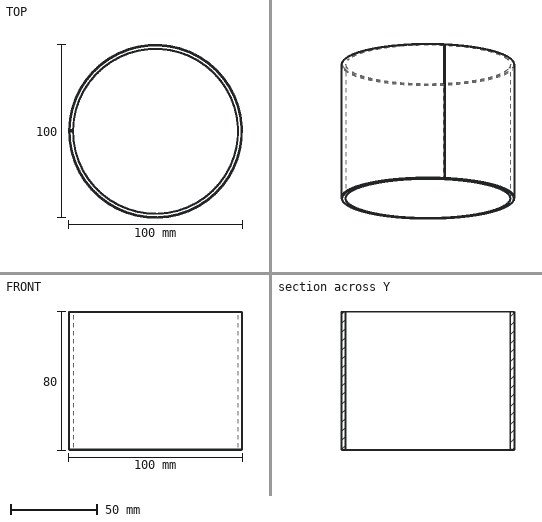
import cadquery as cq

outer_diameter = 100.0
wall_thickness = 2.5
length = 80.0
outer_chamfer = 0.5
bore_chamfer = 0.2
joint_angle = 1.0

outer_radius = outer_diameter / 2
inner_radius = outer_radius - wall_thickness
full_turn = 360.0


def make_wall_section():
    """Wall profile on the -X side, chamfered at the outer and bore rims of both ends."""
    return (
        cq.Workplane("XZ")
        .moveTo(-(inner_radius + bore_chamfer), 0)
        .lineTo(-(outer_radius - outer_chamfer), 0)
        .lineTo(-outer_radius, outer_chamfer)
        .lineTo(-outer_radius, length - outer_chamfer)
        .lineTo(-(outer_radius - outer_chamfer), length)
        .lineTo(-(inner_radius + bore_chamfer), length)
        .lineTo(-inner_radius, length - bore_chamfer)
        .lineTo(-inner_radius, bore_chamfer)
        .close()
    )


def make_sleeve():
    """Sleeve standing on Z = 0; the open joint lies just on the +Y side of the -X axis."""
    axis_start = (0, 0, 0)
    axis_end = (0, 1, 0)
    return make_wall_section().revolve(full_turn - joint_angle, axis_start, axis_end)


result = make_sleeve()